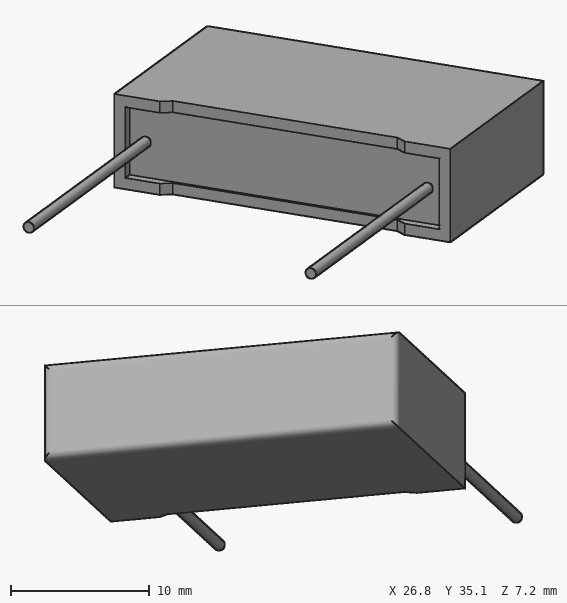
import cadquery as cq

case_width = 26.8
case_height = 7.2
total_length = 35.1
lead_length = 19.0
case_depth = total_length - lead_length
wall = 0.88
back_fillet = 0.5

relief_depth = 0.5
relief_margin = 3.65
relief_slope = 0.8

fill_setback = 0.75

lead_diameter = 0.85
lead_spacing = 22.5


def box_from_front(width, height, front_y, back_y):
    """Box centred on X and Z that runs from front_y to back_y."""
    return cq.Workplane("XY").box(width, back_y - front_y, height).translate((0, (front_y + back_y) / 2, 0))


def make_rim_relief():
    """Trapezoidal cutter that passes through the full case height."""
    outer_x = case_width / 2 - relief_margin
    inner_x = outer_x - relief_slope
    outline = [(-outer_x, 0), (outer_x, 0), (inner_x, relief_depth), (-inner_x, relief_depth)]
    return cq.Workplane("XY").polyline(outline).close().extrude(case_height / 2, both=True)


def make_case():
    """Hollow case with rounded back edges and a relieved rim."""
    shell = box_from_front(case_width, case_height, 0, case_depth)
    shell = shell.faces(">Y").edges().fillet(back_fillet)
    cavity = box_from_front(case_width - 2 * wall, case_height - 2 * wall, 0, case_depth - wall)
    return shell.cut(cavity).cut(make_rim_relief())


def make_fill():
    """Block that fills the cavity behind the setback."""
    return box_from_front(case_width - 2 * wall, case_height - 2 * wall, fill_setback, case_depth - wall)


def make_lead(x):
    """Round lead that starts on the fill face and runs toward -Y."""
    start = cq.Workplane("XZ", origin=(x, fill_setback, 0))
    return start.circle(lead_diameter / 2).extrude(fill_setback + lead_length)


case = make_case()
fill = make_fill()
leads = [make_lead(side * lead_spacing / 2) for side in (-1, 1)]

result = cq.Compound.makeCompound([case.val(), fill.val(), *[lead.val() for lead in leads]])